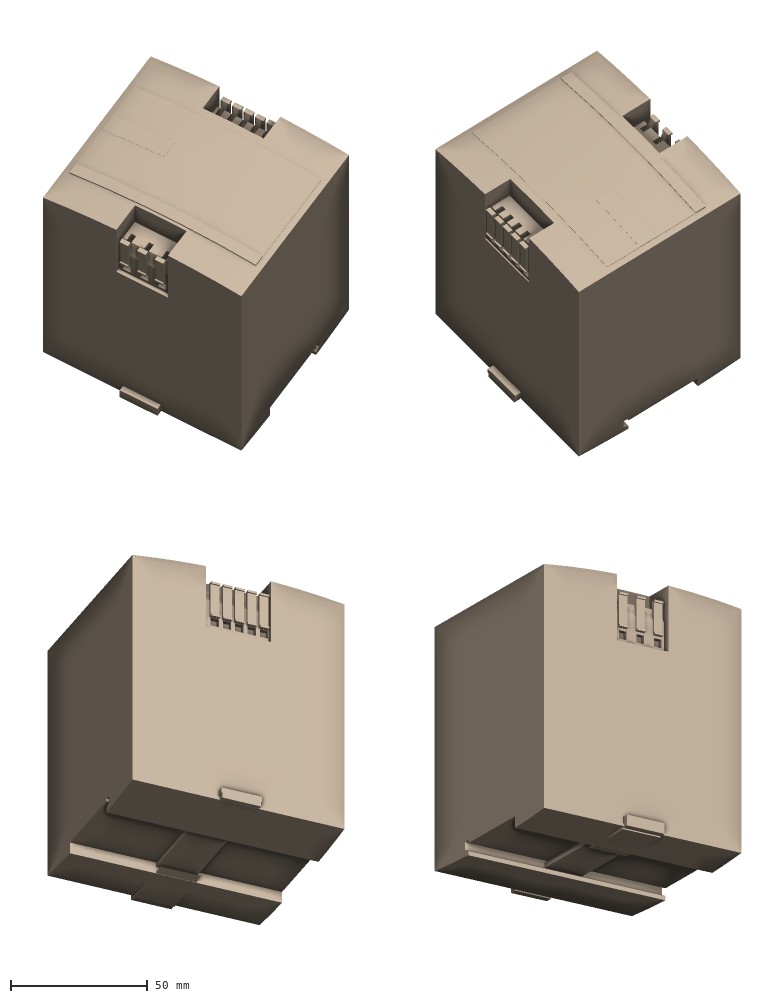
import cadquery as cq
import math

total_height = 100.4
width = 85.0
depth = 75.0
seam_z = 73.7
eave_z = 97.0
crown_z = 99.8

foot_rise = 1.4
rail_front_y = -17.7
rail_rear_y = 14.5
rail_ceiling_z = 4.7
undercut_y = 16.8
undercut_bottom_z = 2.9
undercut_top_z = 5.9
lip_chamfer = 1.3

latch_width = 16.2
latch_x = -0.1
latch_bar_z = 2.9
latch_top_z = 5.1
tab_bottom_z = 0.9
front_tab_length = 2.3
rear_tab_length = 2.7
rear_tab_step = 0.4
latch_gap = 0.4
latch_recess_bottom_z = 2.4
latch_recess_depth = 1.0
hook_length = 4.0
hook_height = 0.8
hook_low_z = 0.2
keel_front_y = -36.9
keel_bottom_z = 0.4

panel_width = 79.9
panel_front_y = -23.3
panel_rear_y = 22.4
panel_height = 0.2
strip_rear_y = -18.6
strip_height = total_height - crown_z
plate_height = 0.3
plate_length = 26.4
plate_front_y = -0.4
plate_rear_y = 7.3

front_recess_width = 22.1
front_recess_y = -24.5
rear_recess_width = 26.1
rear_recess_y = 25.9

block_top_z = 90.6
bevel_drop = 5.2
bevel_depth = 2.1
lever_width = 3.6
lever_top_z = 93.0
lever_reach = 0.9
grip_reach = 0.6
grip_height = 0.9
slot_width = 2.1
slot_rear = 5.5
slot_front = 0.4
ramp_bottom_z = 82.3
wire_hole_size = 3.3
wire_hole_z = 76.8
wire_hole_depth = 2.0
wire_hole_shift = 0.3


def box(x_min, x_max, y_min, y_max, z_min, z_max):
    """Box given by its limits on each axis."""
    size = (x_max - x_min, y_max - y_min, z_max - z_min)
    return cq.Workplane("XY").box(*size, centered=False).translate((x_min, y_min, z_min))


def side_prism(points, x_center, x_width):
    """Prism along X from a closed outline of (Y, Z) points."""
    prism = cq.Workplane("YZ").polyline(points).close().extrude(x_width)
    return prism.translate((x_center - x_width / 2, 0, 0))


def arched_case():
    """Block with an underside arched along Y that reaches Z = 0 at the rail slot lip."""
    half_depth = depth / 2
    arch_center_z = (half_depth**2 - rail_rear_y**2 + foot_rise**2) / (2 * foot_rise)
    arch_low_z = arch_center_z - math.hypot(rail_rear_y, arch_center_z)
    case = (
        cq.Workplane("YZ")
        .moveTo(-half_depth, seam_z)
        .lineTo(-half_depth, foot_rise)
        .threePointArc((0, arch_low_z), (half_depth, foot_rise))
        .lineTo(half_depth, seam_z)
        .close()
        .extrude(width)
    )
    return case.translate((-width / 2, 0, 0))


def rail_slot():
    """DIN rail slot across the full width, undercut into the rear foot."""
    outline = [
        (rail_front_y, -foot_rise),
        (rail_front_y, rail_ceiling_z),
        (rail_rear_y, rail_ceiling_z),
        (rail_rear_y, undercut_top_z),
        (undercut_y, undercut_top_z),
        (undercut_y, undercut_bottom_z),
        (rail_rear_y, undercut_bottom_z - lip_chamfer),
        (rail_rear_y, -foot_rise),
    ]
    return side_prism(outline, 0, width)


def latch():
    """Bar across the rail slot with two end tabs, a rail hook and a keel under the front foot."""
    half = latch_width / 2
    left, right = latch_x - half, latch_x + half
    front_end = -depth / 2 - front_tab_length
    rear_end = depth / 2 + rear_tab_length
    bar = box(left, right, front_end, rear_end, latch_bar_z, latch_top_z)
    front_tab = box(left, right, front_end, -depth / 2 + latch_recess_depth, tab_bottom_z, latch_bar_z)
    rear_tab = box(
        left + rear_tab_step, right - rear_tab_step, depth / 2, rear_end, tab_bottom_z, latch_bar_z
    )
    hook = side_prism(
        [
            (rail_front_y - hook_length, hook_height),
            (rail_front_y + hook_length, hook_height),
            (rail_front_y, hook_low_z),
        ],
        latch_x,
        latch_width,
    )
    keel = box(left, right, keel_front_y, rail_front_y, keel_bottom_z, latch_bar_z)
    return bar.union(front_tab).union(rear_tab).union(hook).union(keel)


def make_lower_housing():
    half_opening = latch_width / 2 + latch_gap
    front_opening = box(
        latch_x - half_opening,
        latch_x + half_opening,
        -depth / 2,
        -depth / 2 + latch_recess_depth,
        latch_recess_bottom_z,
        latch_top_z,
    )
    return arched_case().cut(rail_slot()).cut(front_opening).union(latch())


roof_rise = crown_z - eave_z
roof_radius = ((width / 2) ** 2 + roof_rise**2) / (2 * roof_rise)
roof_center_z = crown_z - roof_radius


def arched_slab(x_min, x_max, y_min, y_max, raised):
    """Part of the cover within the given limits, its top raised above the roof arch."""
    roof = (
        cq.Workplane("XZ")
        .center(0, roof_center_z)
        .circle(roof_radius + raised)
        .extrude(depth / 2, both=True)
    )
    return box(x_min, x_max, y_min, y_max, seam_z, crown_z + raised).intersect(roof)


def make_cover():
    half_panel = panel_width / 2
    cover = arched_slab(-width / 2, width / 2, -depth / 2, depth / 2, 0)
    panel = arched_slab(-half_panel, half_panel, panel_front_y, panel_rear_y, panel_height)
    strip = arched_slab(-half_panel, half_panel, panel_front_y, strip_rear_y, strip_height)
    name_plate = arched_slab(
        -half_panel, plate_length - half_panel, plate_front_y, plate_rear_y, plate_height
    )
    front_recess = box(
        -front_recess_width / 2, front_recess_width / 2, -depth / 2, front_recess_y, seam_z, crown_z
    )
    rear_recess = box(
        -rear_recess_width / 2, rear_recess_width / 2, rear_recess_y, depth / 2, seam_z, crown_z
    )
    return cover.union(panel).union(strip).union(name_plate).cut(front_recess).cut(rear_recess)


def lever(x, face_y, lever_bottom_z):
    """Release lever: plate on the block face with two grip lips and a ramp behind it."""
    left, right = x - lever_width / 2, x + lever_width / 2
    plate_y = face_y - lever_reach
    grip_y = plate_y - grip_reach
    back_y = face_y + slot_front
    plate = box(left, right, plate_y, back_y, lever_bottom_z, lever_top_z)
    top_grip = box(left, right, grip_y, plate_y, lever_top_z - grip_height, lever_top_z)
    bottom_grip = box(left, right, grip_y, plate_y, lever_bottom_z, lever_bottom_z + grip_height)
    ramp = side_prism(
        [(back_y, ramp_bottom_z), (face_y + slot_rear, ramp_bottom_z), (back_y, lever_top_z)],
        x,
        slot_width,
    )
    return plate.union(top_grip).union(bottom_grip).union(ramp)


def make_terminal_block(
    x_center, block_width, face_y, back_y, lever_count, pitch, lever_shift, lever_bottom_z
):
    """Terminal block facing -Y, with a row of levers above their wire holes."""
    block = side_prism(
        [
            (face_y, seam_z),
            (back_y, seam_z),
            (back_y, block_top_z),
            (face_y + bevel_depth, block_top_z),
            (face_y, block_top_z - bevel_drop),
        ],
        x_center,
        block_width,
    )
    half_slot = slot_width / 2
    half_hole = wire_hole_size / 2
    for i in range(lever_count):
        x = x_center + lever_shift + (i - (lever_count - 1) / 2) * pitch
        slot = box(
            x - half_slot,
            x + half_slot,
            face_y + slot_front,
            face_y + slot_rear,
            ramp_bottom_z,
            block_top_z,
        )
        hole_x = x + wire_hole_shift
        wire_hole = box(
            hole_x - half_hole,
            hole_x + half_hole,
            face_y,
            face_y + wire_hole_depth,
            wire_hole_z - half_hole,
            wire_hole_z + half_hole,
        )
        block = block.cut(slot).cut(wire_hole).union(lever(x, face_y, lever_bottom_z))
    return block


lower_housing = make_lower_housing()
cover = make_cover()
input_terminal = make_terminal_block(
    x_center=-0.3,
    block_width=20.7,
    face_y=-35.9,
    back_y=-25.3,
    lever_count=3,
    pitch=7.5,
    lever_shift=-0.1,
    lever_bottom_z=79.5,
)
output_terminal = make_terminal_block(
    x_center=-0.2,
    block_width=25.1,
    face_y=-36.9,
    back_y=-26.3,
    lever_count=5,
    pitch=4.9,
    lever_shift=0.5,
    lever_bottom_z=78.5,
).rotate((0, 0, 0), (0, 0, 1), 180)

result = cq.Compound.makeCompound(
    [lower_housing.val(), cover.val(), input_terminal.val(), output_terminal.val()]
)